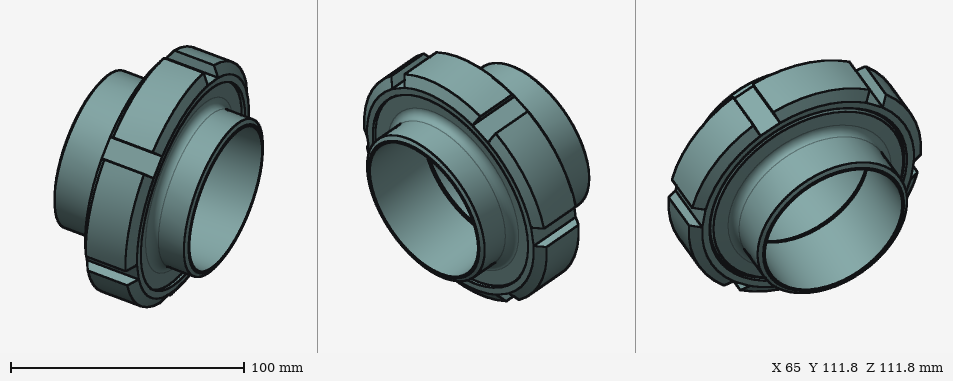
import cadquery as cq
import math

length = 65.0
pipe_radius = 36.0
bore_radius = 66.0 / 2

bevel_length = 1.1
bevel_radius = 33.9

blend_radius = 4.0
left_blend_start = 18.5
right_blend_end = 51.5
left_flange_slope = math.radians(11)
flange_edge_radius = 45.6

nut_radius = 55.9
nut_left = 23.9
nut_right = 49.2
nut_chamfer_length = 3.0
nut_face_radius = 51.0
nut_bore_radius = 47.5

gap_bottom_radius = 46.7
gap_bottom_x = nut_left + nut_bore_radius - gap_bottom_radius

slot_count = 6
slot_width = 10.0
slot_floor = 50.7
first_slot_angle = 9.0

groove_radius = 71.0 / 2
groove_width = 1.0
groove_center = length / 2


def make_revolved_body():
    """Revolve the solid half section of pipes, flanges and nut about X."""
    left_center_x = left_blend_start
    blend_center_r = pipe_radius + blend_radius
    end_x = left_center_x + blend_radius * math.cos(left_flange_slope)
    end_r = blend_center_r - blend_radius * math.sin(left_flange_slope)
    mid_angle = (math.pi / 2 - left_flange_slope) / 2
    left_mid = (
        left_center_x + blend_radius * math.sin(mid_angle),
        blend_center_r - blend_radius * math.cos(mid_angle),
    )
    flange_edge_x = end_x + (flange_edge_radius - end_r) * math.tan(left_flange_slope)
    right_face = right_blend_end - blend_radius
    diagonal = blend_radius * math.sqrt(0.5)
    right_mid = (right_blend_end - diagonal, blend_center_r - diagonal)

    section = (
        cq.Workplane("XY")
        .moveTo(0, bore_radius)
        .lineTo(0, bevel_radius)
        .lineTo(bevel_length, pipe_radius)
        .lineTo(left_blend_start, pipe_radius)
        .threePointArc(left_mid, (end_x, end_r))
        .lineTo(flange_edge_x, flange_edge_radius)
        .lineTo(gap_bottom_x, gap_bottom_radius)
        .lineTo(nut_left, nut_bore_radius)
        .lineTo(nut_left, nut_face_radius)
        .lineTo(nut_left + nut_chamfer_length, nut_radius)
        .lineTo(nut_right - nut_chamfer_length, nut_radius)
        .lineTo(nut_right, nut_face_radius)
        .lineTo(nut_right, nut_bore_radius)
        .lineTo(right_face, nut_bore_radius)
        .lineTo(right_face, blend_center_r)
        .threePointArc(right_mid, (right_blend_end, pipe_radius))
        .lineTo(length - bevel_length, pipe_radius)
        .lineTo(length, bevel_radius)
        .lineTo(length, bore_radius)
        .close()
    )
    return section.revolve(360, (0, 0, 0), (1, 0, 0))


def cut_spanner_slots(body):
    """Cut flat-floored slots along X through the rim of the nut."""
    slot_depth = nut_radius - slot_floor
    slot = (
        cq.Workplane("XY")
        .box(nut_right - nut_left, 2 * slot_depth, slot_width, centered=(False, False, True))
        .translate((nut_left, slot_floor, 0))
    )
    for index in range(slot_count):
        angle = first_slot_angle + index * 360 / slot_count
        body = body.cut(slot.rotate((0, 0, 0), (1, 0, 0), angle))
    return body


def cut_joint_groove(body):
    """Cut the ring groove where the two stubs meet inside the bore."""
    groove = (
        cq.Workplane("YZ", origin=(groove_center - groove_width / 2, 0, 0))
        .circle(groove_radius)
        .extrude(groove_width)
    )
    return body.cut(groove)


result = cut_joint_groove(cut_spanner_slots(make_revolved_body()))